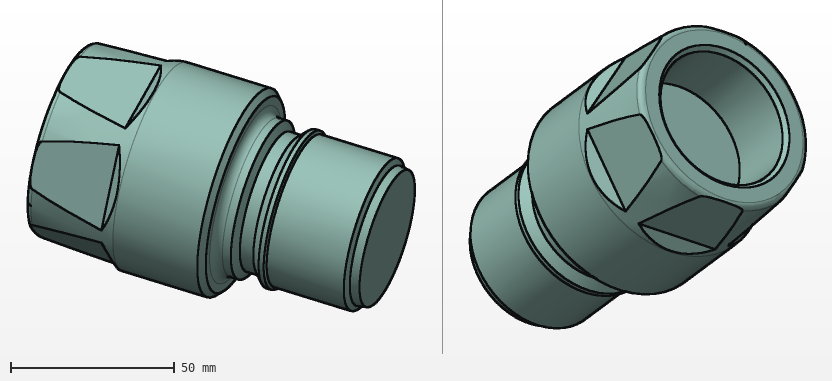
import cadquery as cq
import math

length = 107.0
cone_end = 30.0
body_end = 60.0
neck_fillet_radius = 3.0
groove_start = 65.8
groove_floor_end = 72.0
collar_end = 76.7
tip_length = 3.0

body_radius = 33.5
neck_radius = 25.5
groove_radius = 22.5
barrel_radius = 24.5
tip_radius = 22.5
tip_end_radius = 22.0

cone_angle = math.radians(5)
steep_chamfer_angle = math.radians(60)
body_chamfer = 2.0
mouth_fillet_radius = 2.0

flat_count = 6
flat_distance = 30.0
flat_length = 26.0

bore_radius = 22.5
bore_depth = 25.0
bore_chamfer_radius = 24.0

mouth_radius = body_radius - cone_end * math.tan(cone_angle)


def steep_run(height):
    """Axial length of a steep chamfer that climbs the given radial height."""
    return height / math.tan(steep_chamfer_angle)


def make_body():
    """Revolve the outer outline about the X axis and round the mouth edge."""
    groove_depth = neck_radius - groove_radius
    fillet_end = body_end + neck_fillet_radius
    fillet_top = neck_radius + neck_fillet_radius
    fillet_sag = neck_fillet_radius * (1 - math.sqrt(0.5))
    tip_start = length - tip_length
    outline = (
        cq.Workplane("XY")
        .moveTo(0, 0)
        .lineTo(0, mouth_radius)
        .lineTo(cone_end, body_radius)
        .lineTo(body_end - body_chamfer, body_radius)
        .lineTo(body_end, body_radius - body_chamfer)
        .lineTo(body_end, fillet_top)
        .threePointArc((body_end + fillet_sag, neck_radius + fillet_sag), (fillet_end, neck_radius))
        .lineTo(groove_start, neck_radius)
        .lineTo(groove_start + steep_run(groove_depth), groove_radius)
        .lineTo(groove_floor_end, groove_radius)
        .lineTo(groove_floor_end + groove_depth, neck_radius)
        .lineTo(collar_end, neck_radius)
        .lineTo(collar_end + steep_run(neck_radius - barrel_radius), barrel_radius)
        .lineTo(tip_start - steep_run(barrel_radius - tip_radius), barrel_radius)
        .lineTo(tip_start, tip_radius)
        .lineTo(length, tip_end_radius)
        .lineTo(length, 0)
        .close()
    )
    solid = outline.revolve(360, (0, 0, 0), (1, 0, 0))
    return solid.faces("<X").edges().fillet(mouth_fillet_radius)


def make_flat_cutter():
    """Prism above one wrench flat, closed by a 45 degree run-out wall."""
    clearance = 10.0
    return (
        cq.Workplane("XZ")
        .moveTo(-clearance, flat_distance)
        .lineTo(flat_length, flat_distance)
        .lineTo(flat_length + clearance, flat_distance + clearance)
        .lineTo(-clearance, flat_distance + clearance)
        .close()
        .extrude(body_radius, both=True)
    )


def cut_flats(part):
    """Cut the wrench flats evenly around the X axis."""
    cutter = make_flat_cutter()
    for index in range(flat_count):
        part = part.cut(cutter.rotate((0, 0, 0), (1, 0, 0), index * 360 / flat_count))
    return part


def cut_bore(part):
    """Cut the blind bore with its 45 degree mouth chamfer."""
    chamfer = bore_chamfer_radius - bore_radius
    bore = (
        cq.Workplane("XY")
        .moveTo(0, 0)
        .lineTo(0, bore_chamfer_radius)
        .lineTo(chamfer, bore_radius)
        .lineTo(bore_depth, bore_radius)
        .lineTo(bore_depth, 0)
        .close()
        .revolve(360, (0, 0, 0), (1, 0, 0))
    )
    return part.cut(bore)


result = cut_bore(cut_flats(make_body()))